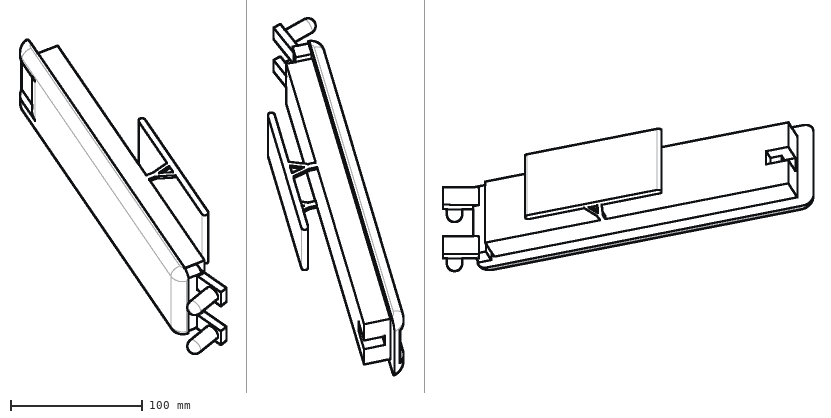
import cadquery as cq
import math


COVER_LENGTH = 271.5
COVER_HEIGHT = 73.2
COVER_THICKNESS = 10.0
LEFT_ROUND_LENGTH = 13.5
RIGHT_ROUND_LENGTH = 10.0
RIGHT_FLAT_DEPTH = 1.8
LONG_EDGE_FILLET = 7.7
FRONT_Y = -COVER_THICKNESS

RECESS_LEFT = 3.0
RECESS_FLOOR_END = 21.0
RECESS_RIGHT = 35.5
RECESS_DEPTH = 5.5
RECESS_TOP = 24.5
RECESS_HEIGHT = 45.0

BOX_LEFT = 13.0
BOX_RIGHT = 257.8
BOX_DEPTH = 20.5
BOX_HEIGHT = 55.7
BOX_CENTER_Z = -0.3

NOTCH_HEIGHT = 12.0
NOTCH_TOP = 5.0
NOTCH_DEPTH = 16.5
NOTCH_LENGTH = 9.0
INNER_NOTCH_DEPTH = 9.8
INNER_NOTCH_LENGTH = 18.0

PADDLE_LEFT = 107.5
PADDLE_RIGHT = 217.5
PADDLE_BACK_Y = 45.5
PADDLE_THICKNESS = 5.5
PADDLE_FRONT_Y = PADDLE_BACK_Y - PADDLE_THICKNESS
LEG_THICKNESS = 2.7
STEM_LEFT = 160.7
STEM_RIGHT = 165.2
STEM_TOP_Y = 26.5
FORK_LEFT = 157.0
FORK_RIGHT = 170.9
FORK_ARM_WIDTH = 3.5
FORK_APEX_X = 163.0
FORK_APEX_Y = 30.0

BAR_LEFT = 260.0
BAR_WIDTH = 10.0
BAR_DEPTH = 12.5
BAR_TOP = 30.0
BAR_HEIGHT = 60.7
ARM_CENTERS_Z = (20.8, -23.8)
ARM_START_X = 265.5
ARM_START_Y = 12.8
ARM_LENGTH = 27.5
ARM_THICKNESS = 6.3
ARM_HEIGHT = 16.0
ARM_ANGLE = 20
PIN_RADIUS = 6.0
PIN_LENGTH = 19.3
PIN_ALONG_ARM = 18.5


def box_between(x_min, x_max, y_min, y_max, z_min, z_max):
    """Box given by its limits along each axis."""
    size = (x_max - x_min, y_max - y_min, z_max - z_min)
    return cq.Workplane("XY").box(*size, centered=False).translate((x_min, y_min, z_min))


def profile_plane(z):
    """Plan-view sketch plane at height z, extruding upward."""
    return cq.Workplane("XY").workplane(offset=z)


def arc_middle(tangent_x, run, rise):
    """Middle of an arc that leaves the front face tangentially at tangent_x.

    The arc reaches a signed distance run along X while rising by rise toward the back.
    """
    radius = (run**2 + rise**2) / (2 * rise)
    half_angle = math.atan(rise / run)
    return (
        tangent_x + radius * math.sin(half_angle),
        FRONT_Y + radius * (1 - math.cos(half_angle)),
    )


def make_recess():
    """Flat-floored pocket whose right wall curves up tangent to the front face."""
    floor_y = FRONT_Y + RECESS_DEPTH
    wall_middle = arc_middle(RECESS_RIGHT, RECESS_FLOOR_END - RECESS_RIGHT, RECESS_DEPTH)
    return (
        profile_plane(RECESS_TOP - RECESS_HEIGHT)
        .moveTo(RECESS_LEFT, FRONT_Y)
        .lineTo(RECESS_LEFT, floor_y)
        .lineTo(RECESS_FLOOR_END, floor_y)
        .threePointArc(wall_middle, (RECESS_RIGHT, FRONT_Y))
        .close()
        .extrude(RECESS_HEIGHT)
    )


def make_cover():
    """Round-ended plate with filleted long edges and a finger recess."""
    left_middle = arc_middle(LEFT_ROUND_LENGTH, -LEFT_ROUND_LENGTH, COVER_THICKNESS)
    right_tangent_x = COVER_LENGTH - RIGHT_ROUND_LENGTH
    right_rise = COVER_THICKNESS - RIGHT_FLAT_DEPTH
    right_middle = arc_middle(right_tangent_x, RIGHT_ROUND_LENGTH, right_rise)
    plate = (
        profile_plane(-COVER_HEIGHT / 2)
        .moveTo(0, 0)
        .threePointArc(left_middle, (LEFT_ROUND_LENGTH, FRONT_Y))
        .lineTo(right_tangent_x, FRONT_Y)
        .threePointArc(right_middle, (COVER_LENGTH, -RIGHT_FLAT_DEPTH))
        .lineTo(COVER_LENGTH, 0)
        .close()
        .extrude(COVER_HEIGHT)
    )
    plate = plate.faces("|Z").edges("not(>Y or >X)").fillet(LONG_EDGE_FILLET)
    return plate.cut(make_recess())


def make_notch(depth, length):
    """Pocket in the left end of the box, measured from its back and left faces."""
    return box_between(
        BOX_LEFT, BOX_LEFT + length, BOX_DEPTH - depth, BOX_DEPTH, NOTCH_TOP - NOTCH_HEIGHT, NOTCH_TOP
    )


def make_leg(z):
    """Y-shaped leg between the box and the paddle, with its lower face at z."""
    return (
        profile_plane(z)
        .polyline(
            [
                (STEM_LEFT, BOX_DEPTH),
                (STEM_RIGHT, BOX_DEPTH),
                (STEM_RIGHT, STEM_TOP_Y),
                (FORK_RIGHT, PADDLE_FRONT_Y),
                (FORK_RIGHT - FORK_ARM_WIDTH, PADDLE_FRONT_Y),
                (FORK_APEX_X, FORK_APEX_Y),
                (FORK_LEFT + FORK_ARM_WIDTH, PADDLE_FRONT_Y),
                (FORK_LEFT, PADDLE_FRONT_Y),
                (STEM_LEFT, STEM_TOP_Y),
            ]
        )
        .close()
        .extrude(LEG_THICKNESS)
    )


def make_housing():
    """Notched box joined to the round-ended paddle by two legs."""
    bottom = BOX_CENTER_Z - BOX_HEIGHT / 2
    top = bottom + BOX_HEIGHT
    housing = box_between(BOX_LEFT, BOX_RIGHT, 0, BOX_DEPTH, bottom, top)
    housing = housing.cut(make_notch(NOTCH_DEPTH, NOTCH_LENGTH))
    housing = housing.cut(make_notch(INNER_NOTCH_DEPTH, INNER_NOTCH_LENGTH))
    paddle = (
        profile_plane(bottom)
        .center((PADDLE_LEFT + PADDLE_RIGHT) / 2, PADDLE_BACK_Y - PADDLE_THICKNESS / 2)
        .slot2D(PADDLE_RIGHT - PADDLE_LEFT, PADDLE_THICKNESS)
        .extrude(BOX_HEIGHT)
    )
    for leg_z in (bottom, top - LEG_THICKNESS):
        housing = housing.union(make_leg(leg_z))
    return housing.union(paddle)


def make_arm(center_z):
    """Arm and domed pin, built along X and then swung about the arm's start corner."""
    half_height = ARM_HEIGHT / 2
    arm = box_between(0, ARM_LENGTH, -ARM_THICKNESS, 0, -half_height, half_height)
    pin = (
        cq.Workplane("XZ", origin=(PIN_ALONG_ARM, -ARM_THICKNESS, 0))
        .circle(PIN_RADIUS)
        .extrude(PIN_LENGTH)
    )
    dome = cq.Workplane("XY").sphere(PIN_RADIUS)
    dome = dome.translate((PIN_ALONG_ARM, -ARM_THICKNESS - PIN_LENGTH, 0))
    arm = arm.union(pin).union(dome)
    arm = arm.rotate((0, 0, 0), (0, 0, 1), ARM_ANGLE)
    return arm.translate((ARM_START_X, ARM_START_Y, center_z))


def make_hinge():
    """Upright bar on the back of the cover with both arms."""
    hinge = box_between(BAR_LEFT, BAR_LEFT + BAR_WIDTH, 0, BAR_DEPTH, BAR_TOP - BAR_HEIGHT, BAR_TOP)
    for center_z in ARM_CENTERS_Z:
        hinge = hinge.union(make_arm(center_z))
    return hinge


cover = make_cover()
housing = make_housing()
hinge = make_hinge()

result = cq.Compound.makeCompound([cover.val(), housing.val(), hinge.val()])